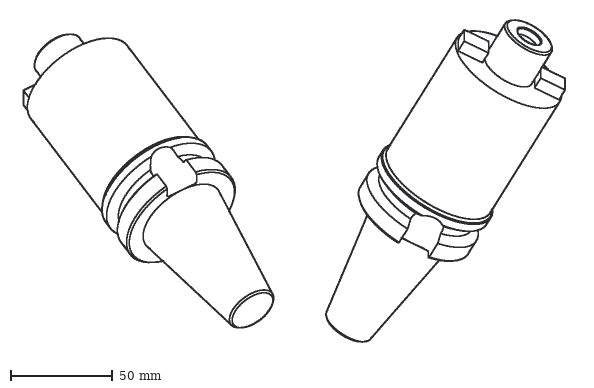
import cadquery as cq
import math


gauge_diameter = 44.45
taper_ratio = 7 / 24
taper_length = 65.4
taper_end_chamfer = 1.0

flange_diameter = 63.0
flange_rear_x = -2.0
flange_front_x = -27.0
flange_rear_chamfer = 1.0
flange_front_chamfer = 0.5
groove_diameter = 53.0
groove_centre_x = -16.9
groove_floor_width = 4.2
groove_flank_angle = 30.0
groove_edge_chamfer = 0.5

neck_diameter = 59.8
neck_length = 1.5
neck_fillet = 0.8
body_diameter = 60.0
body_face_x = -100.0

pilot_diameter = 27.0
pilot_length = 21.5
pilot_chamfer = 1.0
bore_diameter = 13.0
bore_depth = 4.0
bore_chamfer = 0.5

key_width = 12.0
key_height = 6.3
key_inner_y = 14.75
key_outer_y = 28.5

slot_width = 17.0
slot_floor_z = 22.5
slot_tip_x = -24.1
slot_floor_fillet = 1.2

pilot_face_x = body_face_x - pilot_length


def make_turned_blank():
    """Revolve the half outline of pilot, body, flange and taper about X."""
    gauge_radius = gauge_diameter / 2
    pilot_radius = pilot_diameter / 2
    body_radius = body_diameter / 2
    neck_radius = neck_diameter / 2
    flange_radius = flange_diameter / 2
    groove_radius = groove_diameter / 2

    neck_front_x = flange_front_x - neck_length
    floor_front_x = groove_centre_x - groove_floor_width / 2
    floor_rear_x = groove_centre_x + groove_floor_width / 2
    flank_slope = math.tan(math.radians(groove_flank_angle))
    flank_top_radius = flange_radius - groove_edge_chamfer
    flank_run = (flank_top_radius - groove_radius) * flank_slope
    flank_front_x = floor_front_x - flank_run
    flank_rear_x = floor_rear_x + flank_run

    taper_chamfer_x = taper_length - taper_end_chamfer
    taper_chamfer_radius = gauge_radius - taper_chamfer_x * taper_ratio / 2
    taper_end_radius = taper_chamfer_radius - taper_end_chamfer

    neck_fillet_start = (flange_front_x - neck_fillet, neck_radius)
    neck_fillet_end = (flange_front_x, neck_radius + neck_fillet)

    front_outline = [
        (pilot_face_x, 0),
        (pilot_face_x, pilot_radius - pilot_chamfer),
        (pilot_face_x + pilot_chamfer, pilot_radius),
        (body_face_x, pilot_radius),
        (body_face_x, body_radius),
        (neck_front_x, body_radius),
        (neck_front_x, neck_radius),
        neck_fillet_start,
    ]
    rear_outline = [
        (flange_front_x, flange_radius - flange_front_chamfer),
        (flange_front_x + flange_front_chamfer, flange_radius),
        (flank_front_x - groove_edge_chamfer, flange_radius),
        (flank_front_x, flank_top_radius),
        (floor_front_x, groove_radius),
        (floor_rear_x, groove_radius),
        (flank_rear_x, flank_top_radius),
        (flank_rear_x + groove_edge_chamfer, flange_radius),
        (flange_rear_x - flange_rear_chamfer, flange_radius),
        (flange_rear_x, flange_radius - flange_rear_chamfer),
        (flange_rear_x, gauge_radius - flange_rear_x * taper_ratio / 2),
        (taper_chamfer_x, taper_chamfer_radius),
        (taper_length, taper_end_radius),
        (taper_length, 0),
    ]
    return (
        cq.Workplane("XY")
        .polyline(front_outline)
        .tangentArcPoint(neck_fillet_end, relative=False)
        .polyline(rear_outline, includeCurrent=True)
        .close()
        .revolve(360, (0, 0, 0), (1, 0, 0))
    )


def make_bore():
    """Blind bore in the pilot face, with a chamfered mouth."""
    bore_radius = bore_diameter / 2
    outline = [
        (pilot_face_x, 0),
        (pilot_face_x, bore_radius + bore_chamfer),
        (pilot_face_x + bore_chamfer, bore_radius),
        (pilot_face_x + bore_depth, bore_radius),
        (pilot_face_x + bore_depth, 0),
    ]
    return cq.Workplane("XY").polyline(outline).close().revolve(360, (0, 0, 0), (1, 0, 0))


def make_key(side):
    """Drive key on the +Y (side = 1) or -Y (side = -1) half of the body face."""
    key_length = key_outer_y - key_inner_y
    key_centre_y = side * (key_inner_y + key_outer_y) / 2
    return (
        cq.Workplane("YZ", origin=(body_face_x, key_centre_y, 0))
        .rect(key_length, key_width)
        .extrude(-key_height)
    )


def make_slot_cutter():
    """Cutter for the +Z drive slot: round front end, open rear, filleted floor edge."""
    half_width = slot_width / 2
    arc_centre_x = slot_tip_x + half_width
    cutter_height = flange_diameter / 2 - slot_floor_z
    return (
        cq.Workplane("XY", origin=(0, 0, slot_floor_z))
        .moveTo(flange_rear_x, half_width)
        .lineTo(arc_centre_x, half_width)
        .threePointArc((slot_tip_x, 0), (arc_centre_x, -half_width))
        .lineTo(flange_rear_x, -half_width)
        .close()
        .extrude(cutter_height)
        .faces("<Z")
        .edges("not >X")
        .fillet(slot_floor_fillet)
    )


result = make_turned_blank().cut(make_bore())

for side in (1, -1):
    result = result.union(make_key(side))

slot_cutter = make_slot_cutter()
for turn in (0, 180):
    result = result.cut(slot_cutter.rotate((0, 0, 0), (1, 0, 0), turn))